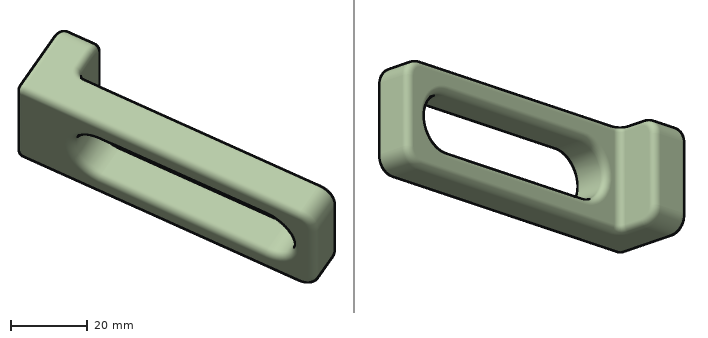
import cadquery as cq

length = 90.0
depth = 25.0
height = 30.0

wall = 12.0
edge_radius = 2.0
inner_corner_radius = 2.0
outer_corner_radius = 5.0

slot_length = 66.1
slot_height = 16.0
slot_center_x = 50.0

rim_margin = 0.1


def make_body():
    """L-shaped bar centred on Z = 0, with rounded plate end and hook tip."""
    body = (
        cq.Workplane("XY")
        .polyline([(0, 0), (length, 0), (length, wall), (wall, wall), (wall, depth), (0, depth)])
        .close()
        .extrude(height / 2, both=True)
    )
    body = body.faces(">X").edges("|Y").fillet(outer_corner_radius)
    body = body.faces(">Y").edges("|X").fillet(outer_corner_radius)
    inner_corner = cq.selectors.NearestToPointSelector((wall, wall, 0))
    return body.edges("|Z").edges(inner_corner).fillet(inner_corner_radius)


def make_slot():
    """Round-ended cutter running through the plate along Y."""
    return (
        cq.Workplane("XZ")
        .center(slot_center_x, 0)
        .slot2D(slot_length, slot_height)
        .extrude(-wall)
    )


def round_slot_rims(plate):
    """Round the slot's rims on both faces of the plate."""
    first_corner = (slot_center_x - slot_length / 2 - rim_margin, -rim_margin, -slot_height / 2 - rim_margin)
    last_corner = (slot_center_x + slot_length / 2 + rim_margin, wall + rim_margin, slot_height / 2 + rim_margin)
    around_slot = cq.selectors.BoxSelector(first_corner, last_corner, boundingbox=True)
    return plate.edges(around_slot).edges("not |Y").fillet(edge_radius)


def round_outer_edges(part):
    """Round every edge around the outside of the bar."""
    outer_edges = part.faces("<X or >X or >Y or <Z or >Z").edges()
    return outer_edges.fillet(edge_radius)


bar = round_outer_edges(make_body())
result = round_slot_rims(bar.cut(make_slot()))